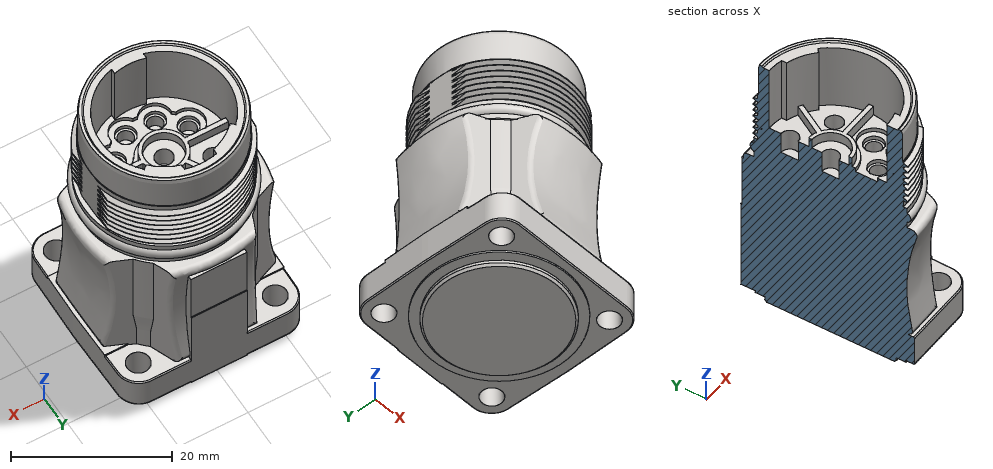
import cadquery as cq
import math

TOTAL_HEIGHT = 40.4

SPIGOT_RADIUS = 9.82
SPIGOT_CHAMFER = 0.32
STEP_RADIUS = 11.25
STEP_BOTTOM_Z = 0.75

HOUSING_OFFSET_Y = 0.4

FLANGE_BOTTOM_Z = 1.05
FLANGE_TOP_Z = 5.82
FLANGE_WIDTH = 25.8
FLANGE_DEPTH = 25.9
FLANGE_CORNER_RADIUS = 3.07
FLANGE_EDGE_CHAMFER = 0.15
HOLE_SPACING = 19.75
HOLE_DIAMETER = 3.2
SWELL_SPAN = 26.15
SWELL_STRIP_WIDTH = 1.0
PAD_LENGTH = 13.82
PAD_TOP_Z = 6.05

BODY_RADIUS = 11.48
RELIEF_RADIUS = 11.28
RELIEF_TOP_Z = 9.05
RELIEF_END_Z = 12.05
COLLAR_RADIUS = 11.45
COLLAR_TOP_Z = 27.45
CORE_RADIUS = 10.5

LOBE_DIRECTIONS = (0, 90, 180, 270)
LOBE_TOP_Z = 24.17
LOBE_TOP_DISTANCE = 13.2
LOBE_WAIST_Z = 14.95
LOBE_SECTION_WIDTH = 17.8
LOBE_TOP_BULGE = 2.02
LOBE_WAIST_BULGE = 1.0
LOBE_FOOT_BULGE = 0.05
LOBE_INNER_DISTANCE = 7.28
LOBE_OUTER_DISTANCE = 13.75
LOBE_AXIS_HALF_WIDTH = 10.87
LOBE_SIDE_ANGLE = 22.5
LOBE_FILLET = 0.8
LOBE_WAIST_DISTANCE = 11.85
LOBE_FOOT_DISTANCE = 12.85

PANEL_WIDTH = 8.1
PANEL_TOP_Z = 23.05
PANEL_STEP_Z = 14.95
PANEL_UPPER_Y = 13.2

O_RING_OUTER_RADIUS = 12.0
O_RING_SECTION_RADIUS = 0.85
O_RING_Z = 25.83

BARREL_RADIUS = 10.75
BARREL_CHAMFER_RADIAL = 0.15
BARREL_CHAMFER_HEIGHT = 0.6
THREAD_TOP_Z = 35.2
THREAD_PITCH = 1.0
THREAD_MAJOR_RADIUS = 11.5
THREAD_ROOT_RADIUS = 10.87
THREAD_CREST_WIDTH = 0.12
THREAD_ROOT_WIDTH = 0.8
THREAD_START_Z = 27.9
THREAD_TURNS = 6.85
THREAD_OVERLAP = 0.1
THREAD_FLAT_DISTANCE = 10.7

RIM_INNER_RADIUS = 10.2
RIM_STEP_RADIUS = 10.0
RIM_STEP_DEPTH = 0.2
CAVITY_RADIUS = 9.1
CAVITY_FLOOR_Z = 30.3
KEY_RADIUS = 8.35
KEY_GAP_HALF_WIDTH = 2.3
KEY_END_ANGLE = 46.5

RIB_TOP_Z = 31.75
RIB_WIDTH = 0.7
RIB_ANGLES = (0, 60, 120, 180)
RING_OUTER_RADIUS = 3.25
RING_INNER_RADIUS = 2.7
CONTACT_CIRCLE_RADIUS = 6.05
CONTACT_DEPTH = 3.25
POWER_CONTACT_ANGLES = (29, 90, 151)
POWER_CONTACT_DIAMETER = 2.5
SIGNAL_CONTACT_ANGLES = (-29, -69.5, -110.5, -151)
SIGNAL_CONTACT_DIAMETER = 2.2
SIGNAL_CONTACT_MOUTH = 2.83
RECESS_DEPTH = 0.6
RECESS_LOBE_RADIUS = 2.22
RECESS_INNER_RADIUS = 3.75
RECESS_OUTER_RADIUS = 7.0


def disc(radius, bottom, top):
    return cq.Workplane("XY").workplane(offset=bottom).circle(radius).extrude(top - bottom)


def tube(outer, inner, bottom, top):
    return disc(outer, bottom, top).cut(disc(inner, bottom, top))


def block(x_size, y_size, bottom, top, x=0, y=0):
    return cq.Workplane("XY").box(x_size, y_size, top - bottom, centered=(True, True, False)).translate(
        (x, y, bottom)
    )


def polar(radius, angle):
    return (radius * math.cos(math.radians(angle)), radius * math.sin(math.radians(angle)))


def sector(radius, start, end, bottom, top):
    """Pie slice about the Z axis, from one angle to the other."""
    return (
        cq.Workplane("XY")
        .workplane(offset=bottom)
        .lineTo(*polar(radius, start))
        .threePointArc(polar(radius, (start + end) / 2), polar(radius, end))
        .close()
        .extrude(top - bottom)
    )


def make_core():
    """Turned stack from the spigot up to the barrel rim, without the thread ridge."""
    barrel_edge = BARREL_RADIUS - BARREL_CHAMFER_RADIAL
    profile = [
        (0, 0),
        (SPIGOT_RADIUS - SPIGOT_CHAMFER, 0),
        (SPIGOT_RADIUS, SPIGOT_CHAMFER),
        (SPIGOT_RADIUS, STEP_BOTTOM_Z),
        (STEP_RADIUS, STEP_BOTTOM_Z),
        (STEP_RADIUS, FLANGE_BOTTOM_Z),
        (CORE_RADIUS, FLANGE_BOTTOM_Z),
        (CORE_RADIUS, LOBE_TOP_Z),
        (COLLAR_RADIUS, LOBE_TOP_Z),
        (COLLAR_RADIUS, COLLAR_TOP_Z),
        (THREAD_ROOT_RADIUS, COLLAR_TOP_Z),
        (THREAD_ROOT_RADIUS, THREAD_TOP_Z),
        (BARREL_RADIUS, THREAD_TOP_Z),
        (BARREL_RADIUS, TOTAL_HEIGHT - BARREL_CHAMFER_HEIGHT),
        (barrel_edge, TOTAL_HEIGHT),
        (0, TOTAL_HEIGHT),
    ]
    return cq.Workplane("XZ").polyline(profile).close().revolve(360, (0, 0), (0, 1))


def make_housing_body():
    profile = [
        (0, FLANGE_BOTTOM_Z),
        (RELIEF_RADIUS, FLANGE_BOTTOM_Z),
        (RELIEF_RADIUS, RELIEF_TOP_Z),
        (BODY_RADIUS, RELIEF_END_Z),
        (BODY_RADIUS, LOBE_TOP_Z),
        (0, LOBE_TOP_Z),
    ]
    body = cq.Workplane("XZ").polyline(profile).close().revolve(360, (0, 0), (0, 1))
    return body.translate((0, HOUSING_OFFSET_Y, 0))


def flange_outline(top):
    """Rounded square whose X sides swell slightly to a narrow flat strip in the middle."""
    half_width = FLANGE_WIDTH / 2
    half_depth = FLANGE_DEPTH / 2
    corner_y = half_depth - FLANGE_CORNER_RADIUS
    plate = block(FLANGE_WIDTH, FLANGE_DEPTH, FLANGE_BOTTOM_Z, top).edges("|Z").fillet(FLANGE_CORNER_RADIUS)
    for side in (-1, 1):
        swell = (
            cq.Workplane("XY")
            .workplane(offset=FLANGE_BOTTOM_Z)
            .polyline(
                [
                    (0, -corner_y),
                    (side * half_width, -corner_y),
                    (side * SWELL_SPAN / 2, -SWELL_STRIP_WIDTH / 2),
                    (side * SWELL_SPAN / 2, SWELL_STRIP_WIDTH / 2),
                    (side * half_width, corner_y),
                    (0, corner_y),
                ]
            )
            .close()
            .extrude(top - FLANGE_BOTTOM_Z)
        )
        plate = plate.union(swell)
    return plate


def make_flange():
    plate = flange_outline(FLANGE_TOP_Z).faces("<Z or >Z").chamfer(FLANGE_EDGE_CHAMFER)
    pad_strip = block(SWELL_SPAN, PAD_LENGTH, FLANGE_BOTTOM_Z + FLANGE_EDGE_CHAMFER, PAD_TOP_Z)
    pads = flange_outline(PAD_TOP_Z).intersect(pad_strip)
    return plate.union(pads).translate((0, HOUSING_OFFSET_Y, 0))


def cut_mounting_holes(part):
    holes = (
        cq.Workplane("XY")
        .center(0, HOUSING_OFFSET_Y)
        .rect(HOLE_SPACING, HOLE_SPACING, forConstruction=True)
        .vertices()
        .circle(HOLE_DIAMETER / 2)
        .extrude(RELIEF_TOP_Z)
    )
    return part.cut(holes)


def lobe_half_width(distance):
    return LOBE_AXIS_HALF_WIDTH - distance * math.tan(math.radians(LOBE_SIDE_ANGLE))


def lobe_section(z, distance, bulge):
    """Horizontal section: straight on the inside, bulging outward to the given distance."""
    half = LOBE_SECTION_WIDTH / 2
    return (
        cq.Workplane("XY")
        .workplane(offset=z)
        .moveTo(0, -half)
        .lineTo(distance - bulge, -half)
        .threePointArc((distance, 0), (distance - bulge, half))
        .lineTo(0, half)
        .close()
        .val()
    )


def make_lobe(direction):
    """Wedge with a waisted outer face that goes from flat at the foot to rounded at the top."""
    top_distance = LOBE_TOP_DISTANCE - HOUSING_OFFSET_Y * math.sin(math.radians(direction))
    inner_half = lobe_half_width(LOBE_INNER_DISTANCE)
    outer_half = lobe_half_width(LOBE_OUTER_DISTANCE)
    wedge = (
        cq.Workplane("XY")
        .workplane(offset=FLANGE_BOTTOM_Z)
        .polyline(
            [
                (LOBE_INNER_DISTANCE, -inner_half),
                (LOBE_OUTER_DISTANCE, -outer_half),
                (LOBE_OUTER_DISTANCE, outer_half),
                (LOBE_INNER_DISTANCE, inner_half),
            ]
        )
        .close()
        .extrude(LOBE_TOP_Z - FLANGE_BOTTOM_Z)
    )
    sections = [
        lobe_section(FLANGE_TOP_Z, LOBE_FOOT_DISTANCE, LOBE_FOOT_BULGE),
        lobe_section(LOBE_WAIST_Z, LOBE_WAIST_DISTANCE, LOBE_WAIST_BULGE),
        lobe_section(LOBE_TOP_Z, top_distance, LOBE_TOP_BULGE),
    ]
    flank = cq.Workplane("XY").add(cq.Solid.makeLoft(sections))
    lobe = wedge.intersect(flank)
    rounded_edges = lobe.faces(">Z").edges("not %LINE").add(lobe.edges("not(#Z or |Z)"))
    lobe = rounded_edges.fillet(LOBE_FILLET)
    return lobe.rotate((0, 0, 0), (0, 0, 1), direction).translate((0, HOUSING_OFFSET_Y, 0))


def make_panel():
    flange_back_y = HOUSING_OFFSET_Y + FLANGE_DEPTH / 2
    return (
        cq.Workplane("YZ")
        .moveTo(LOBE_INNER_DISTANCE, FLANGE_BOTTOM_Z)
        .lineTo(flange_back_y, FLANGE_BOTTOM_Z)
        .lineTo(flange_back_y, PANEL_STEP_Z)
        .lineTo(PANEL_UPPER_Y, PANEL_STEP_Z)
        .lineTo(PANEL_UPPER_Y, PANEL_TOP_Z)
        .lineTo(LOBE_INNER_DISTANCE, PANEL_TOP_Z)
        .close()
        .extrude(PANEL_WIDTH / 2, both=True)
    )


def make_o_ring():
    """Outer half of the ring; the inner half is buried in the body."""
    centre_radius = O_RING_OUTER_RADIUS - O_RING_SECTION_RADIUS
    return (
        cq.Workplane("XZ")
        .moveTo(centre_radius, O_RING_Z - O_RING_SECTION_RADIUS)
        .threePointArc((O_RING_OUTER_RADIUS, O_RING_Z), (centre_radius, O_RING_Z + O_RING_SECTION_RADIUS))
        .close()
        .revolve(360, (0, 0), (0, 1))
    )


def make_thread():
    """Right-handed helical ridge, sunk slightly into the barrel."""
    inner_radius = THREAD_ROOT_RADIUS - THREAD_OVERLAP
    helix = cq.Wire.makeHelix(THREAD_PITCH, THREAD_PITCH * THREAD_TURNS, inner_radius)
    ridge = (
        cq.Workplane("XZ")
        .polyline(
            [
                (inner_radius, -THREAD_ROOT_WIDTH / 2),
                (THREAD_MAJOR_RADIUS, -THREAD_CREST_WIDTH / 2),
                (THREAD_MAJOR_RADIUS, THREAD_CREST_WIDTH / 2),
                (inner_radius, THREAD_ROOT_WIDTH / 2),
            ]
        )
        .close()
        .sweep(cq.Workplane(helix), isFrenet=True)
    )
    return ridge.translate((0, 0, THREAD_START_Z))


def cut_thread_flats(part):
    cutter_width = 1.6
    cutter_x = THREAD_FLAT_DISTANCE + cutter_width / 2
    for side in (-1, 1):
        cutter = block(cutter_width, 2 * THREAD_MAJOR_RADIUS, COLLAR_TOP_Z, THREAD_TOP_Z, x=side * cutter_x)
        part = part.cut(cutter)
    return part


def make_cavity():
    """Space removed above the floor: a round bore less its coding keys, and the stepped rim."""
    rim_floor_z = TOTAL_HEIGHT - RIM_STEP_DEPTH
    rim = (
        disc(RIM_INNER_RADIUS, rim_floor_z, TOTAL_HEIGHT)
        .faces("<Z")
        .chamfer(RIM_STEP_DEPTH * 0.9, RIM_INNER_RADIUS - RIM_STEP_RADIUS)
    )
    key_ring = tube(CAVITY_RADIUS, KEY_RADIUS, CAVITY_FLOOR_Z, TOTAL_HEIGHT)
    key_span = sector(
        2 * CAVITY_RADIUS, 90 - KEY_END_ANGLE, 90 + KEY_END_ANGLE, CAVITY_FLOOR_Z, TOTAL_HEIGHT
    )
    gap_width = 2 * KEY_GAP_HALF_WIDTH
    gap = block(gap_width, CAVITY_RADIUS * 2, CAVITY_FLOOR_Z, TOTAL_HEIGHT, y=CAVITY_RADIUS)
    lower_key = block(gap_width, CAVITY_RADIUS * 2, CAVITY_FLOOR_Z, TOTAL_HEIGHT, y=-CAVITY_RADIUS)
    upper_keys = key_ring.intersect(key_span).cut(gap)
    bore = disc(CAVITY_RADIUS, CAVITY_FLOOR_Z, TOTAL_HEIGHT)
    return bore.cut(upper_keys).cut(key_ring.intersect(lower_key)).union(rim)


def make_floor_ribs():
    ribs = tube(RING_OUTER_RADIUS, RING_INNER_RADIUS, CAVITY_FLOOR_Z, RIB_TOP_Z)
    rib_length = CAVITY_RADIUS - RING_INNER_RADIUS
    for angle in RIB_ANGLES:
        rib = block(rib_length, RIB_WIDTH, CAVITY_FLOOR_Z, RIB_TOP_Z, x=RING_INNER_RADIUS + rib_length / 2)
        ribs = ribs.union(rib.rotate((0, 0, 0), (0, 0, 1), angle))
    keep = tube(CAVITY_RADIUS, RING_INNER_RADIUS, CAVITY_FLOOR_Z, RIB_TOP_Z)
    return ribs.intersect(keep)


def make_signal_recess():
    """Cloverleaf pocket that surrounds the four signal contacts."""
    bottom = CAVITY_FLOOR_Z - RECESS_DEPTH
    recess = sector(
        RECESS_OUTER_RADIUS, SIGNAL_CONTACT_ANGLES[-1], SIGNAL_CONTACT_ANGLES[0], bottom, CAVITY_FLOOR_Z
    )
    for angle in SIGNAL_CONTACT_ANGLES:
        lobe = disc(RECESS_LOBE_RADIUS, bottom, CAVITY_FLOOR_Z)
        recess = recess.union(lobe.translate((*polar(CONTACT_CIRCLE_RADIUS, angle), 0)))
    return recess.cut(disc(RECESS_INNER_RADIUS, bottom, CAVITY_FLOOR_Z))


def make_contact_sockets():
    sockets = []
    bottom = CAVITY_FLOOR_Z - CONTACT_DEPTH
    power = disc(POWER_CONTACT_DIAMETER / 2, bottom, CAVITY_FLOOR_Z)
    sockets.append(power)
    for angle in POWER_CONTACT_ANGLES:
        sockets.append(power.translate((*polar(CONTACT_CIRCLE_RADIUS, angle), 0)))
    mouth_bottom = CAVITY_FLOOR_Z - 2 * RECESS_DEPTH
    signal = disc(SIGNAL_CONTACT_DIAMETER / 2, bottom, CAVITY_FLOOR_Z)
    signal = signal.union(disc(SIGNAL_CONTACT_MOUTH / 2, mouth_bottom, CAVITY_FLOOR_Z))
    for angle in SIGNAL_CONTACT_ANGLES:
        sockets.append(signal.translate((*polar(CONTACT_CIRCLE_RADIUS, angle), 0)))
    return sockets


part = make_core().union(make_housing_body()).union(make_flange())
for direction in LOBE_DIRECTIONS:
    part = part.union(make_lobe(direction))
part = part.union(make_panel())
part = part.union(make_o_ring())
part = part.union(make_thread())
part = cut_thread_flats(part)
part = cut_mounting_holes(part)
part = part.cut(make_cavity())
part = part.union(make_floor_ribs())
part = part.cut(make_signal_recess())
for socket in make_contact_sockets():
    part = part.cut(socket)

result = part